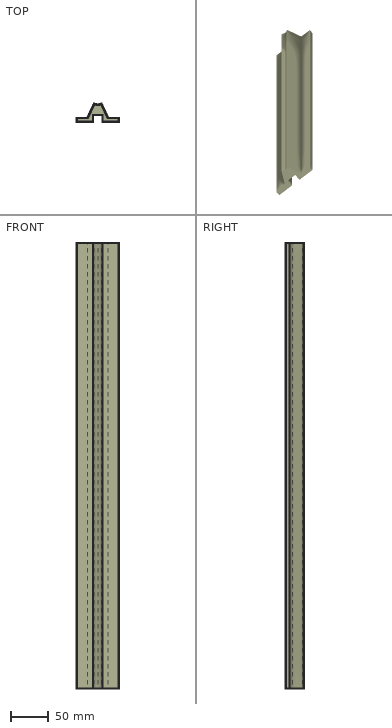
import cadquery as cq

length = 599.5
flange_width = 57.0
height = 24.5

flange_thickness = 5.5
rib_base_width = 27.5
rib_tip_spacing = 9.5
tip_notch_depth = 2.0
slot_width = 12.5
slot_depth = 9.0

right_half = [
    (slot_width / 2, slot_depth),
    (slot_width / 2, 0),
    (flange_width / 2, 0),
    (flange_width / 2, flange_thickness),
    (rib_base_width / 2, flange_thickness),
    (rib_tip_spacing / 2, height),
]
left_half = [(-x, y) for x, y in reversed(right_half)]
notch_bottom = (0, height - tip_notch_depth)

section = right_half + [notch_bottom] + left_half
result = cq.Workplane("XY").polyline(section).close().extrude(length)